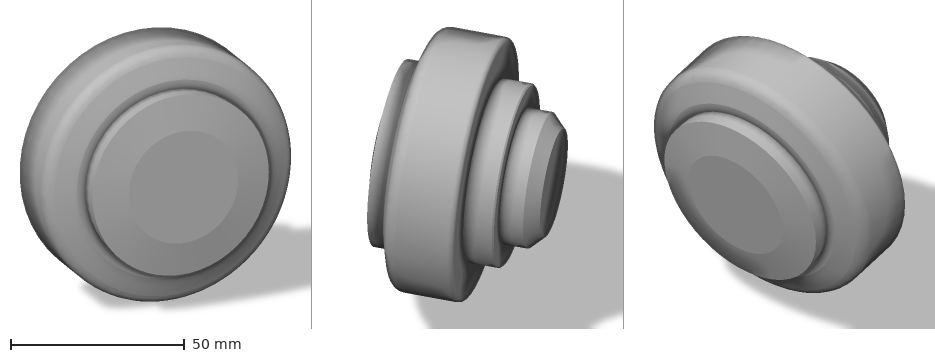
import cadquery as cq


stub_length = 11.0
collar_length = 9.1
roller_width = 22.9
gap_width = 0.2
total_length = 50.5
collar_end = stub_length + collar_length
roller_end = collar_end + roller_width
hub_start = roller_end + gap_width

stub_radius = 40.0 / 2
collar_radius = 54.0 / 2
roller_radius = 77.7 / 2
hub_radius = 55.0 / 2
core_radius = 21.0

stub_chamfer = 4.05
collar_chamfer = 0.5
roller_edge_fillet = 1.5
roller_shoulder_fillet = 4.0
roller_taper_length = 3.0
roller_face_radius = 30.15
hub_taper_length = 2.1
hub_face_radius = 17.1


def disc(start, length, radius):
    """Cylinder along +X from the given start position."""
    return cq.Workplane("YZ", origin=(start, 0, 0)).circle(radius).extrude(length)


def make_stub():
    return disc(0, stub_length, stub_radius).faces("<X").edges().chamfer(stub_chamfer)


def make_collar():
    return disc(stub_length, collar_length, collar_radius).faces("<X or >X").edges().chamfer(collar_chamfer)


def make_roller():
    profile = (
        cq.Workplane("XY")
        .moveTo(collar_end, 0)
        .lineTo(collar_end, roller_radius)
        .lineTo(roller_end - roller_taper_length, roller_radius)
        .lineTo(roller_end, roller_face_radius)
        .lineTo(roller_end, 0)
        .close()
    )
    roller = profile.revolve(360, (0, 0, 0), (1, 0, 0))
    outer_edges = roller.faces("%CYLINDER").edges("%CIRCLE")
    roller = outer_edges.edges(">X").fillet(roller_shoulder_fillet)
    return roller.faces("<X").edges().fillet(roller_edge_fillet)


def make_hub():
    profile = (
        cq.Workplane("XY")
        .moveTo(hub_start, 0)
        .lineTo(hub_start, hub_radius)
        .lineTo(total_length - hub_taper_length, hub_radius)
        .lineTo(total_length, hub_face_radius)
        .lineTo(total_length, 0)
        .close()
    )
    return profile.revolve(360, (0, 0, 0), (1, 0, 0))


def make_core():
    """Narrow neck that joins the hub to the roller across the gap."""
    return disc(roller_end, gap_width, core_radius)


result = (
    make_stub()
    .union(make_collar())
    .union(make_roller())
    .union(make_core())
    .union(make_hub())
)